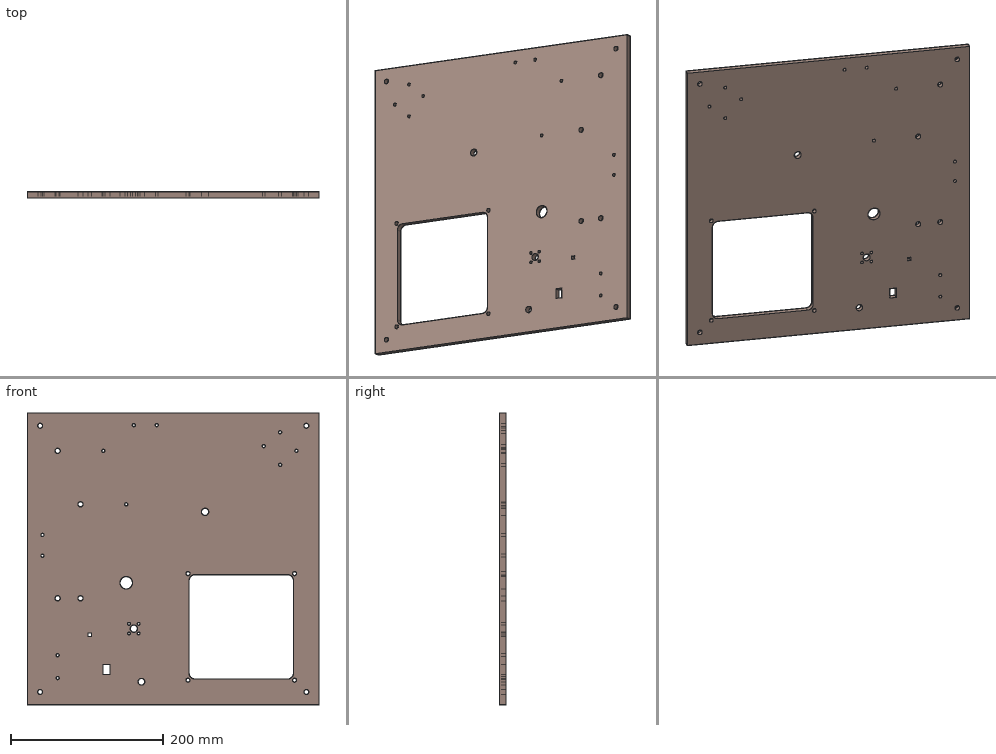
import cadquery as cq

SIDE = 383.5
THICKNESS = 9.0
HALF_SIDE = SIDE / 2

CORNER_HOLE_DIA = 6.0
CORNER_HOLE_INSET = 17.0

WINDOW_SIDE = 137.0
WINDOW_RADIUS = 7.5
WINDOW_X = 89.5
WINDOW_Z = -89.5
WINDOW_SCREW_DIA = 5.0
WINDOW_SCREW_PITCH = 140.0

COLUMN_COUNT = 4
COLUMN_INSET = 40.0
COLUMN_SPAN = 90.0
COLUMN_PITCH = COLUMN_SPAN / (COLUMN_COUNT - 1)
COLUMN_1_X = COLUMN_INSET - HALF_SIDE
COLUMN_2_X = COLUMN_1_X + COLUMN_PITCH
COLUMN_3_X = COLUMN_2_X + COLUMN_PITCH
COLUMN_4_X = COLUMN_3_X + COLUMN_PITCH
UPPER_ROW_Z = 142.0
MIDDLE_ROW_Z = 71.7
LOWER_ROW_Z = -51.8

MEDIUM_HOLE_DIA = 6.5
MEDIUM_HOLES = [
    (COLUMN_1_X, UPPER_ROW_Z),
    (COLUMN_2_X, MIDDLE_ROW_Z),
    (COLUMN_1_X, LOWER_ROW_Z),
    (COLUMN_2_X, LOWER_ROW_Z),
]

SMALL_HOLE_DIA = 4.0
TOP_PAIR_X = -51.8
TOP_PAIR_Z = 175.5
EDGE_PAIR_X = -172.0
EDGE_PAIR_Z = 31.5
EDGE_PAIR_PITCH = 27.2
BOTTOM_PAIR_Z = -126.5
SMALL_HOLES = [
    (COLUMN_3_X, UPPER_ROW_Z),
    (COLUMN_4_X, MIDDLE_ROW_Z),
    (TOP_PAIR_X, TOP_PAIR_Z),
    (TOP_PAIR_X + COLUMN_PITCH, TOP_PAIR_Z),
    (EDGE_PAIR_X, EDGE_PAIR_Z),
    (EDGE_PAIR_X, EDGE_PAIR_Z - EDGE_PAIR_PITCH),
    (COLUMN_1_X, BOTTOM_PAIR_Z),
    (COLUMN_1_X, BOTTOM_PAIR_Z - COLUMN_PITCH),
]

DIAMOND_X = 140.5
DIAMOND_Z = 145.0
DIAMOND_REACH = 21.5
DIAMOND_SKEW = 3.0
DIAMOND_HOLES = [
    (DIAMOND_X, DIAMOND_Z + DIAMOND_REACH),
    (DIAMOND_X, DIAMOND_Z - DIAMOND_REACH),
    (DIAMOND_X - DIAMOND_REACH, DIAMOND_Z + DIAMOND_SKEW),
    (DIAMOND_X + DIAMOND_REACH, DIAMOND_Z - DIAMOND_SKEW),
]

BUSHING_DIA = 16.0
BUSHING_Z = -31.5
UPPER_PASSAGE_DIA = 9.2
UPPER_PASSAGE = (41.8, 61.7)
LOWER_PASSAGE_DIA = 8.5
LOWER_PASSAGE = (-41.8, -161.5)

CLUSTER_X = -51.8
CLUSTER_Z = -91.5
CLUSTER_BORE_DIA = 9.2
CLUSTER_SCREW_DIA = 3.5
CLUSTER_PITCH = 12.5

SLOT_X = -88.0
SLOT_Z = -145.5
SLOT_WIDTH = 9.0
SLOT_HEIGHT = 13.0
NOTCH_X = -109.7
NOTCH_Z = -99.7
NOTCH_SIDE = 4.2


def square_pattern(x, z, pitch):
    """Corner points of a square with the given centre and side."""
    half = pitch / 2
    return [(x + sx * half, z + sz * half) for sx in (-1, 1) for sz in (-1, 1)]


def back_face_plane():
    """Sketch plane on the +Y face, with extrusions running toward -Y."""
    return cq.Workplane("XZ", origin=(0, THICKNESS / 2, 0))


def through_holes(points, diameter):
    """Cylinders along Y through the whole panel."""
    circles = back_face_plane().pushPoints(points).circle(diameter / 2)
    return circles.extrude(THICKNESS)


def through_rectangle(x, z, width, height):
    """Block along Y through the whole panel."""
    return back_face_plane().center(x, z).rect(width, height).extrude(THICKNESS)


hole_groups = [
    (square_pattern(0, 0, SIDE - 2 * CORNER_HOLE_INSET), CORNER_HOLE_DIA),
    (square_pattern(WINDOW_X, WINDOW_Z, WINDOW_SCREW_PITCH), WINDOW_SCREW_DIA),
    (MEDIUM_HOLES, MEDIUM_HOLE_DIA),
    (SMALL_HOLES + DIAMOND_HOLES, SMALL_HOLE_DIA),
    ([(COLUMN_4_X, BUSHING_Z)], BUSHING_DIA),
    ([UPPER_PASSAGE], UPPER_PASSAGE_DIA),
    ([LOWER_PASSAGE], LOWER_PASSAGE_DIA),
    ([(CLUSTER_X, CLUSTER_Z)], CLUSTER_BORE_DIA),
    (square_pattern(CLUSTER_X, CLUSTER_Z, CLUSTER_PITCH), CLUSTER_SCREW_DIA),
]

window = through_rectangle(WINDOW_X, WINDOW_Z, WINDOW_SIDE, WINDOW_SIDE)
window = window.edges("|Y").fillet(WINDOW_RADIUS)

result = cq.Workplane("XY").box(SIDE, THICKNESS, SIDE)
for points, diameter in hole_groups:
    result = result.cut(through_holes(points, diameter))
result = result.cut(window)
result = result.cut(through_rectangle(SLOT_X, SLOT_Z, SLOT_WIDTH, SLOT_HEIGHT))
result = result.cut(through_rectangle(NOTCH_X, NOTCH_Z, NOTCH_SIDE, NOTCH_SIDE))